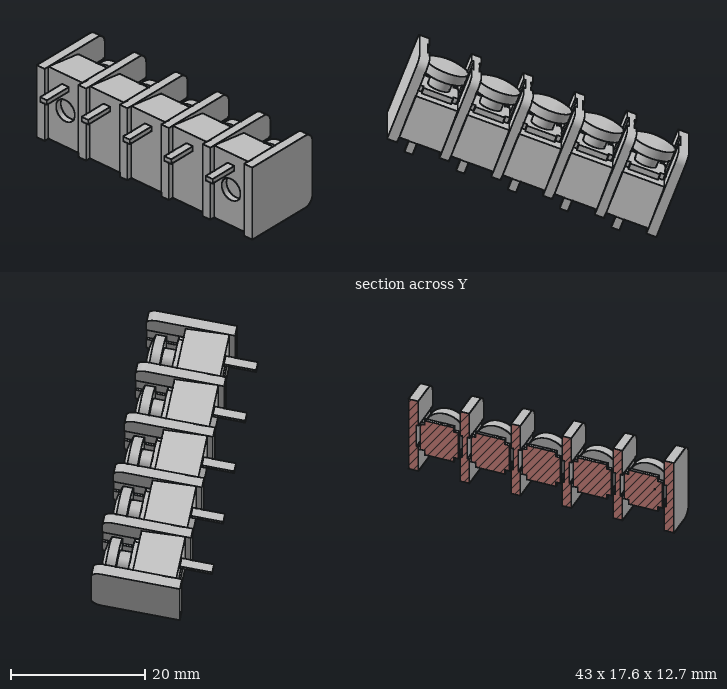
import cadquery as cq


length = 42.95
height = 12.7
bay_count = 5
pitch = 8.25
bay_width = 6.75
inner_wall = pitch - bay_width
end_wall = (length - bay_count * pitch + inner_wall) / 2
bay_centers = [(i - (bay_count - 1) / 2) * pitch for i in range(bay_count)]

wall_depth = 13.5
wall_corner_radius = 1.6

body_front = 0.85
body_back = 7.5
body_taper = 0.95

plate_thickness = 0.9
plate_size = 6.25
plate_core = 4.72

shank_radius = 1.7
head_radius = 3.45
head_start = 10.35
head_thickness = 1.55
dome_height = 0.77

relief_depth = 0.3
relief_height = 3.78

pin_reach = 4.05
pin_width = 1.35
pin_thickness = 0.8
pin_z = 4.05

hole_diameter = 3.75
hole_depth = 1.07


def box_between(x_center, x_size, y_start, y_end, z_center, z_size):
    """Box centred in X and Z that runs from y_start to y_end."""
    box = cq.Workplane("XY").box(x_size, y_end - y_start, z_size)
    return box.translate((x_center, (y_start + y_end) / 2, z_center))


def make_wall(x_center, thickness):
    """Upright wall with its two back corners rounded."""
    wall = box_between(x_center, thickness, 0, wall_depth, 0, height)
    return wall.edges(">Y and |X").fillet(wall_corner_radius)


def make_body():
    """Bar through all bays, narrowing in height towards the back."""
    front_half = height / 2
    back_half = front_half - body_taper
    profile = [
        (body_front, -front_half),
        (body_back, -back_half),
        (body_back, back_half),
        (body_front, front_half),
    ]
    body_length = length - 2 * end_wall
    return cq.Workplane("YZ").polyline(profile).close().extrude(body_length / 2, both=True)


def make_plate(x_center):
    """Cross-shaped clamp plate lying on the back of the body."""
    plate_back = body_back + plate_thickness
    upright = box_between(x_center, plate_core, body_back, plate_back, 0, plate_size)
    crossbar = box_between(x_center, plate_size, body_back, plate_back, 0, plate_core)
    return upright.union(crossbar)


def make_screw(x_center):
    """Screw shank and domed head, revolved about an axis along Y."""
    head_rim = head_start + head_thickness
    head_top = head_rim + dome_height
    dome_radius = (head_radius**2 + dome_height**2) / (2 * dome_height)
    mid_radius = head_radius / 2
    mid_y = head_top - dome_radius + (dome_radius**2 - mid_radius**2) ** 0.5
    profile = (
        cq.Workplane("XY")
        .moveTo(0, body_back)
        .lineTo(shank_radius, body_back)
        .lineTo(shank_radius, head_start)
        .lineTo(head_radius, head_start)
        .lineTo(head_radius, head_rim)
        .threePointArc((mid_radius, mid_y), (0, head_top))
        .close()
    )
    return profile.revolve(360, (0, 0), (0, 1)).translate((x_center, 0, 0))


def make_pin(x_center):
    """Flat solder pin standing out of the front of the body."""
    return box_between(x_center, pin_width, -pin_reach, body_back, pin_z, pin_thickness)


def make_relief(x_center):
    """Cutter for the two wall pockets of one bay, open at the back."""
    relief_width = bay_width + 2 * relief_depth
    return box_between(x_center, relief_width, body_back, wall_depth, 0, relief_height)


def make_hole(x_center):
    """Cutter for a blind round hole in the front of the body."""
    hole = cq.Workplane("XZ").circle(hole_diameter / 2).extrude(-hole_depth)
    return hole.translate((x_center, body_front, 0))


result = make_body()

for side in (-1, 1):
    result = result.union(make_wall(side * (length - end_wall) / 2, end_wall))
for bay_x in bay_centers[:-1]:
    result = result.union(make_wall(bay_x + pitch / 2, inner_wall))

for bay_x in (bay_centers[0], bay_centers[-1]):
    result = result.cut(make_hole(bay_x))

for bay_x in bay_centers:
    result = result.cut(make_relief(bay_x))
    result = result.union(make_plate(bay_x))
    result = result.union(make_screw(bay_x))
    result = result.union(make_pin(bay_x))